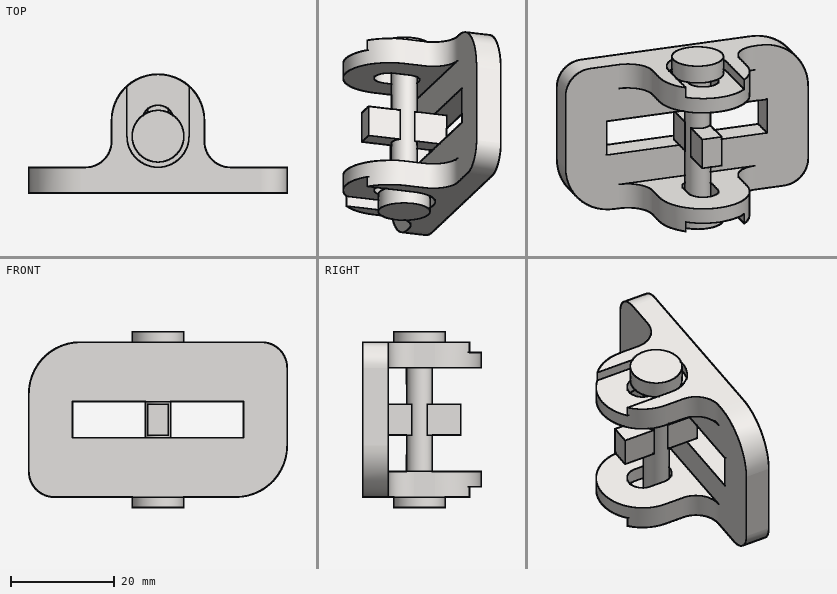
import cadquery as cq

plate_length = 50.0
plate_height = 30.0
plate_thickness = 5.0
large_corner_radius = 10.0
small_corner_radius = 5.0
window_length = 33.0
window_height = 7.0

ear_thickness = 5.0
ear_radius = 9.0
ear_center_y = 14.0
ear_root_radius = 5.0

pin_y = 11.0
slot_radius = 3.0
recess_radius = 6.0
recess_depth = 2.0

shaft_diameter = 5.0
head_diameter = 10.0
head_projection = 2.0
head_thickness = 3.5
bar_width = 4.0
bar_height = 6.0
bar_length = 16.0

half_length = plate_length / 2
half_height = plate_height / 2
ear_inner_z = half_height - ear_thickness
recess_floor_z = half_height - recess_depth
head_inner_z = half_height + head_projection - head_thickness


def box(length, depth, height, start_y):
    """Box centered on X and Z, running from start_y toward +Y."""
    block = cq.Workplane("XY").box(length, depth, height, centered=(True, False, True))
    return block.translate((0, start_y, 0))


def corner_edges(plate, corners):
    """Plate edges along Y at the given (X, Z) corners."""
    edges = plate.edges("|Y")
    return edges.filter(
        lambda edge: any(
            abs(edge.Center().x - x) < 0.5 and abs(edge.Center().z - z) < 0.5
            for x, z in corners
        )
    )


def make_plate():
    plate = box(plate_length, plate_thickness, plate_height, 0)
    large_corners = [(-half_length, half_height), (half_length, -half_height)]
    small_corners = [(half_length, half_height), (-half_length, -half_height)]
    plate = corner_edges(plate, large_corners).fillet(large_corner_radius)
    plate = corner_edges(plate, small_corners).fillet(small_corner_radius)
    return plate.cut(box(window_length, plate_thickness, window_height, 0))


def make_upper_ear():
    """Rounded lug that flares into the back of the plate."""
    root_x = ear_radius + ear_root_radius
    root_y = plate_thickness + ear_root_radius
    diagonal = ear_root_radius * 0.5**0.5
    return (
        cq.Workplane("XY", origin=(0, 0, ear_inner_z))
        .moveTo(-root_x, plate_thickness)
        .threePointArc((-root_x + diagonal, root_y - diagonal), (-ear_radius, root_y))
        .lineTo(-ear_radius, ear_center_y)
        .threePointArc((0, ear_center_y + ear_radius), (ear_radius, ear_center_y))
        .lineTo(ear_radius, root_y)
        .threePointArc((root_x - diagonal, root_y - diagonal), (root_x, plate_thickness))
        .close()
        .extrude(ear_thickness)
    )


def make_round_ended_cutter(radius, end_y, bottom_z, height):
    """Channel of width 2 * radius from a round end at pin_y straight to end_y."""
    return (
        cq.Workplane("XY", origin=(0, 0, bottom_z))
        .moveTo(-radius, end_y)
        .lineTo(-radius, pin_y)
        .threePointArc((0, pin_y - radius), (radius, pin_y))
        .lineTo(radius, end_y)
        .close()
        .extrude(height)
    )


def make_upper_ear_cutter():
    """Slot rounded at both ends, and the open-ended recess for the head."""
    slot = make_round_ended_cutter(slot_radius, ear_center_y, ear_inner_z, ear_thickness)
    slot_end = (
        cq.Workplane("XY", origin=(0, ear_center_y, ear_inner_z))
        .circle(slot_radius)
        .extrude(ear_thickness)
    )
    ear_tip_y = ear_center_y + ear_radius
    recess = make_round_ended_cutter(recess_radius, ear_tip_y, recess_floor_z, recess_depth)
    return slot.union(slot_end).union(recess)


def make_bracket():
    bracket = make_plate()
    ear = make_upper_ear().cut(make_upper_ear_cutter())
    return bracket.union(ear).union(ear.mirror("XY"))


def make_pin():
    """Shaft, two heads held just clear of the recess floors, and the cross bar."""
    shaft = (
        cq.Workplane("XY", origin=(0, pin_y, -head_inner_z))
        .circle(shaft_diameter / 2)
        .extrude(2 * head_inner_z)
    )
    head = (
        cq.Workplane("XY", origin=(0, pin_y, head_inner_z))
        .circle(head_diameter / 2)
        .extrude(head_thickness)
    )
    bar = box(bar_width, bar_length, bar_height, pin_y - bar_length / 2)
    return shaft.union(head).union(head.mirror("XY")).union(bar)


bracket = make_bracket()
pin = make_pin()

result = cq.Compound.makeCompound([bracket.solids().val(), pin.solids().val()])